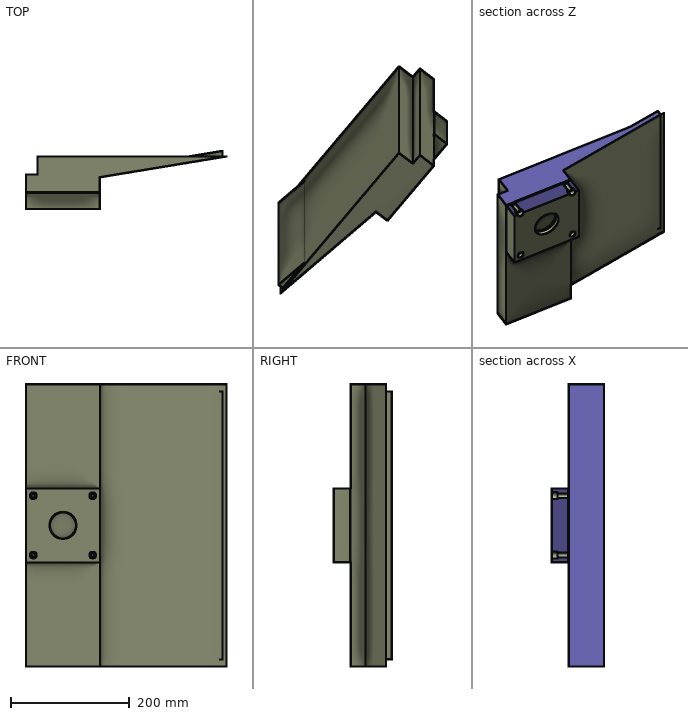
import cadquery as cq

height = 476.0
width = 338.0
back_y = 0.0
front_y = -60.0
block_width = 124.5

step_width = 19.0
step_y = -30.0

wing_root_y = -35.0

wedge_end_x = 331.5
wedge_rise = 9.5
wedge_end_inset = 12.5

flange_size = block_width
shim_thickness = 1.5
flange_thickness = 27.0
flange_center_x = block_width / 2
recess_diameter = 45.0
recess_depth = 8.0
recess_floor_diameter = 44.5
recess_floor_depth = 10.0
screw_spacing = 100.0
counterbore_diameter = 11.0
screw_hole_diameter = 7.0
counterbore_depth = 9.5


def make_housing():
    """Stepped block with a tapered wing and a wedge raised on its back."""
    body = (
        cq.Workplane("XY", origin=(0, 0, -height / 2))
        .moveTo(0, front_y)
        .lineTo(block_width, front_y)
        .lineTo(block_width, wing_root_y)
        .lineTo(width, back_y)
        .lineTo(step_width, back_y)
        .lineTo(step_width, step_y)
        .lineTo(0, step_y)
        .close()
        .extrude(height)
    )
    wing_slope = (back_y - wing_root_y) / (width - block_width)
    wedge_start_x = wedge_end_x - wedge_rise / wing_slope
    wedge = (
        cq.Workplane("XY", origin=(0, 0, -height / 2 + wedge_end_inset))
        .moveTo(wedge_start_x, back_y)
        .lineTo(wedge_end_x, back_y)
        .lineTo(wedge_end_x, back_y + wedge_rise)
        .close()
        .extrude(height - 2 * wedge_end_inset)
    )
    return body.union(wedge)


def make_square_plate(rear_y, thickness):
    """Square plate extending forward (-Y) from rear_y."""
    return (
        cq.Workplane("XZ", origin=(flange_center_x, rear_y, 0))
        .rect(flange_size, flange_size)
        .extrude(thickness)
    )


def make_shim():
    """Thin plate between the housing and the flange, with screw clearance."""
    plate = make_square_plate(front_y, shim_thickness)
    screw_holes = (
        cq.Workplane("XZ", origin=(flange_center_x, front_y, 0))
        .rect(screw_spacing, screw_spacing, forConstruction=True)
        .vertices()
        .circle(screw_hole_diameter / 2)
        .extrude(shim_thickness)
    )
    return plate.cut(screw_holes)


def make_recess_cutter(outer_y, diameter, depth):
    """Cylinder reaching the given depth behind the flange face at outer_y."""
    return (
        cq.Workplane("XZ", origin=(flange_center_x, outer_y + depth, 0))
        .circle(diameter / 2)
        .extrude(depth)
    )


def make_flange():
    """Thick plate with a counterbored screw hole in each corner and a stepped round recess."""
    rear_y = front_y - shim_thickness
    outer_y = rear_y - flange_thickness
    plate = make_square_plate(rear_y, flange_thickness)
    recess = make_recess_cutter(outer_y, recess_diameter, recess_depth)
    floor_step = make_recess_cutter(outer_y, recess_floor_diameter, recess_floor_depth)
    return (
        plate.cut(recess)
        .cut(floor_step)
        .faces("<Y")
        .workplane(origin=(flange_center_x, outer_y, 0))
        .rect(screw_spacing, screw_spacing, forConstruction=True)
        .vertices()
        .cboreHole(screw_hole_diameter, counterbore_diameter, counterbore_depth)
    )


housing = make_housing()
shim = make_shim()
flange = make_flange()

result = cq.Compound.makeCompound([housing.val(), shim.val(), flange.val()])